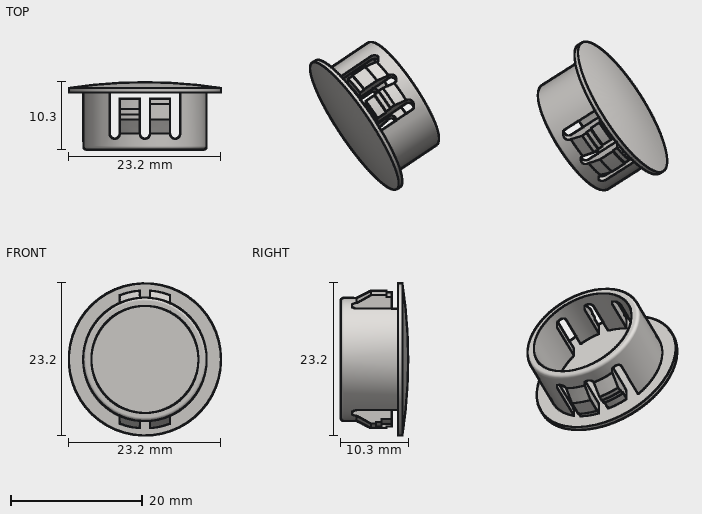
import cadquery as cq
import math


cap_radius = 11.6
cap_rim_thickness = 0.7
dome_height = 0.9

barrel_radius = 9.4
barrel_bore_radius = 8.15
barrel_length = 8.7
barrel_end_fillet = 0.5

slot_width = 1.5
slot_pitch = 4.6
slot_depth = 7.0
finger_gap = 0.9

tooth_radius = 10.5
shallow_step_radius = 10.25
deep_step_radius = 9.85
single_step_depth = 1.7
deep_step_depth = 2.5
double_step_depth = 3.3
ramp_start_depth = 4.1

slot_end_radius = slot_width / 2
ramp_end_depth = slot_depth - slot_end_radius
window_half_width = slot_pitch + slot_width / 2
finger_width = slot_pitch - slot_width
wall_mid_radius = (barrel_bore_radius + barrel_radius) / 2


def revolve_about_y(profile):
    """Revolve a closed (radius, Y) profile one full turn about the part axis."""
    return profile.close().revolve(360, (0, 0, 0), (0, 1, 0))


def make_cap():
    """Round cap with a spherical top."""
    dome_radius = (cap_radius**2 + dome_height**2) / (2 * dome_height)
    apex_y = cap_rim_thickness + dome_height
    mid_x = cap_radius / 2
    mid_y = apex_y - dome_radius + math.sqrt(dome_radius**2 - mid_x**2)
    profile = (
        cq.Workplane("XY")
        .lineTo(cap_radius, 0)
        .lineTo(cap_radius, cap_rim_thickness)
        .threePointArc((mid_x, mid_y), (0, apex_y))
    )
    return revolve_about_y(profile)


def make_barrel():
    """Hollow barrel with a rounded outer edge at its open end."""
    barrel = cq.Workplane("XZ").circle(barrel_radius).extrude(barrel_length)
    barrel = barrel.faces("<Y").edges().fillet(barrel_end_fillet)
    bore = cq.Workplane("XZ").circle(barrel_bore_radius).extrude(barrel_length)
    return barrel.cut(bore)


def make_slots():
    """Round-ended slots on both sides, joined by a gap next to the cap."""
    cut_height = 2 * tooth_radius
    gap = cq.Workplane("XY").box(2 * window_half_width, finger_gap, cut_height)
    cutter = gap.translate((0, -finger_gap / 2, 0))
    for slot_x in (-slot_pitch, 0, slot_pitch):
        slot = (
            cq.Workplane("XY", origin=(slot_x, 0, -cut_height / 2))
            .moveTo(-slot_end_radius, 0)
            .lineTo(-slot_end_radius, -ramp_end_depth)
            .threePointArc((0, -slot_depth), (slot_end_radius, -ramp_end_depth))
            .lineTo(slot_end_radius, 0)
            .close()
            .extrude(cut_height)
        )
        cutter = cutter.union(slot)
    return cutter


def make_tooth(steps, side):
    """Upper snap tooth on the +X (side=1) or -X (side=-1) finger.

    Each step is a (radius, end depth) pair, listed from the finger tip on.
    """
    profile = cq.Workplane("XY").moveTo(wall_mid_radius, -finger_gap)
    depth = finger_gap
    for radius, end_depth in steps:
        profile = profile.lineTo(radius, -depth).lineTo(radius, -end_depth)
        depth = end_depth
    profile = (
        profile.lineTo(tooth_radius, -depth)
        .lineTo(tooth_radius, -ramp_start_depth)
        .lineTo(barrel_radius, -ramp_end_depth)
        .lineTo(wall_mid_radius, -ramp_end_depth)
    )
    finger_slice = (
        cq.Workplane("XY")
        .box(finger_width, barrel_length, tooth_radius)
        .translate((side * slot_pitch / 2, -barrel_length / 2, tooth_radius / 2))
    )
    return revolve_about_y(profile).intersect(finger_slice)


def make_teeth():
    """Two upper teeth, repeated half a turn about the axis."""
    double_step = [
        (deep_step_radius, deep_step_depth),
        (shallow_step_radius, double_step_depth),
    ]
    single_step = [(shallow_step_radius, single_step_depth)]
    upper = make_tooth(double_step, -1).union(make_tooth(single_step, 1))
    lower = upper.rotate((0, 0, 0), (0, 1, 0), 180)
    return upper.union(lower)


body = make_barrel().cut(make_slots())
result = body.union(make_teeth()).union(make_cap())